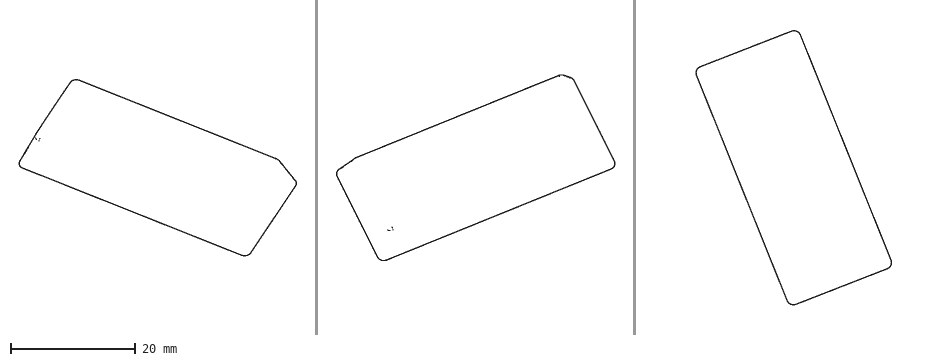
import cadquery as cq
import math

length = 41.81
width = 18.0
height = 7.2

end_wall_lean = 18.2
side_wall_lean = 17.5
corner_radius = 1.2
crown_radius = 24.5
top_edge_radius = 0.6


def tapered_block():
    """Rectangular block with four leaning walls and rounded corner edges."""
    end_inset = height * math.tan(math.radians(end_wall_lean))
    side_inset = height * math.tan(math.radians(side_wall_lean))
    block = (
        cq.Workplane("XY")
        .rect(length, width)
        .workplane(offset=height)
        .rect(length - 2 * end_inset, width - 2 * side_inset)
        .loft(ruled=True)
    )
    sloping_edges = "not(|X or |Y)"
    return block.edges(sloping_edges).fillet(corner_radius)


def crown_cylinder():
    """Cylinder along X whose highest line is the crest of the crown."""
    return (
        cq.Workplane("YZ")
        .center(0, height - crown_radius)
        .circle(crown_radius)
        .extrude(length, both=True)
    )


def key_cap():
    """Tapered block cut to the crown, with the whole top rim rounded."""
    body = tapered_block().intersect(crown_cylinder())
    return body.faces(">Z").edges().fillet(top_edge_radius)


result = key_cap()